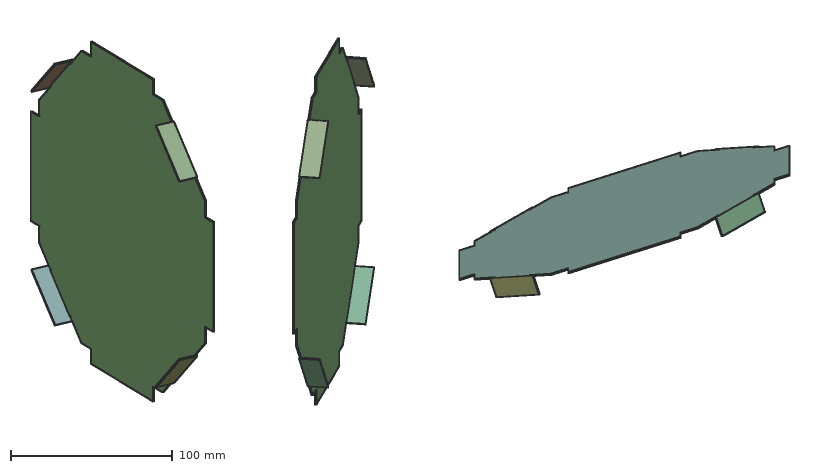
import cadquery as cq
import math

overall_width = 215.5
overall_depth = 13.0
sheet_thickness = 1.0

tab_length = 10.0
tab_width = 73.3
side_length = 95.7
body_width = overall_width - 2 * tab_length

flange_length = 39.2
flange_gap = 0.5
bridge_inset = 3.5
slant_distance = (body_width + side_length) / 2 / math.sqrt(2)


def make_plate():
    """Flat octagon with four tabs; its back face lies on Y = 0."""
    corner_cut = (body_width - side_length) / 2
    octagon = (
        cq.Workplane("XY")
        .box(body_width, sheet_thickness, body_width)
        .edges("|Y")
        .chamfer(corner_cut)
    )
    upright_tabs = cq.Workplane("XY").box(tab_width, sheet_thickness, overall_width)
    level_tabs = cq.Workplane("XY").box(overall_width, sheet_thickness, tab_width)
    plate = octagon.union(upright_tabs).union(level_tabs)
    return plate.translate((0, -sheet_thickness / 2, 0))


def make_flange(angle):
    """Flange bent toward -Y, placed at an angle around the Y axis.

    A bridge in the plane of the plate joins it to the slanted side. Beyond the
    bridge, narrow slits keep the flange ends clear of the plate.
    """
    leaf = (
        cq.Workplane("XY")
        .box(sheet_thickness, overall_depth, flange_length)
        .translate((
            slant_distance + flange_gap + sheet_thickness / 2,
            -overall_depth / 2,
            0,
        ))
    )
    bridge = (
        cq.Workplane("XY")
        .box(flange_gap, sheet_thickness, flange_length - 2 * bridge_inset)
        .translate((slant_distance + flange_gap / 2, -sheet_thickness / 2, 0))
    )
    return leaf.union(bridge).rotate((0, 0, 0), (0, 1, 0), angle)


result = make_plate()
for flange_angle in (45, 135, 225, 315):
    result = result.union(make_flange(flange_angle))